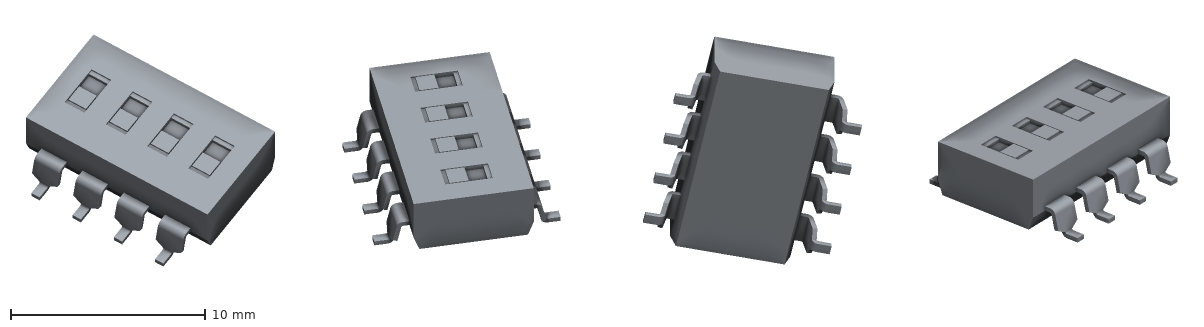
import cadquery as cq
import math

BODY_LENGTH = 11.2
BODY_WIDTH = 6.32
BODY_TOP = 3.75
BODY_BOTTOM = 0.7
TAPER_TOP = 1.5
TAPER_INSET = 0.3

SWITCH_COUNT = 4
SWITCH_PITCH = 2.54
SWITCH_ROW_OFFSET = -0.05

WINDOW_WIDTH = 1.21
WINDOW_LENGTH = 2.5
WINDOW_DEPTH = 0.1
LEDGE_LENGTH = 0.25
TRACK_DEPTH = 0.3
TOGGLE_WIDTH = 1.09
TOGGLE_TOP = BODY_TOP
TRACK_LENGTH = WINDOW_LENGTH - 2 * LEDGE_LENGTH
TOGGLE_LENGTH = TRACK_LENGTH / 2

LEAD_SPAN = 9.8
LEAD_TOP = 1.76
LEAD_THICKNESS = 0.26
LEAD_WIDTH = 1.57
FOOT_WIDTH = 0.52
FOOT_LENGTH = 0.7
SHOULDER_LENGTH = 0.34
INNER_BEND_RADIUS = 0.1
OUTER_BEND_RADIUS = INNER_BEND_RADIUS + LEAD_THICKNESS
LEAD_TAPER_TOP = 0.6
LEAD_TAPER_HEIGHT = 0.29
LEAD_ROOT = 0.34


def switch_positions():
    first = SWITCH_ROW_OFFSET - SWITCH_PITCH * (SWITCH_COUNT - 1) / 2
    return [first + index * SWITCH_PITCH for index in range(SWITCH_COUNT)]


def block(width, length, bottom, top, x, y):
    """Upright box centred on (x, y)."""
    return cq.Workplane("XY", origin=(x, y, bottom)).rect(width, length).extrude(top - bottom)


def make_body():
    half_top = BODY_WIDTH / 2
    half_bottom = half_top - TAPER_INSET
    outline = [
        (-half_bottom, BODY_BOTTOM),
        (half_bottom, BODY_BOTTOM),
        (half_top, TAPER_TOP),
        (half_top, BODY_TOP),
        (-half_top, BODY_TOP),
        (-half_top, TAPER_TOP),
    ]
    return cq.Workplane("YZ").polyline(outline).close().extrude(BODY_LENGTH / 2, both=True)


def make_window(x):
    """Material removed for one switch: the recess and track, less the toggle."""
    recess = block(WINDOW_WIDTH, WINDOW_LENGTH, BODY_TOP - WINDOW_DEPTH, BODY_TOP, x, 0)
    track_floor = BODY_TOP - TRACK_DEPTH
    track = block(WINDOW_WIDTH, TRACK_LENGTH, track_floor, BODY_TOP, x, 0)
    toggle = block(TOGGLE_WIDTH, TOGGLE_LENGTH, track_floor, TOGGLE_TOP, x, -TOGGLE_LENGTH / 2)
    return recess.union(track).cut(toggle)


def make_lead():
    """Lead on the +Y side, centred on X = 0."""
    root = BODY_WIDTH / 2 - LEAD_ROOT
    tip = LEAD_SPAN / 2
    upper_y = BODY_WIDTH / 2 + SHOULDER_LENGTH
    upper_z = LEAD_TOP - OUTER_BEND_RADIUS
    lower_y = tip - FOOT_LENGTH
    lower_z = OUTER_BEND_RADIUS

    rise = upper_z - lower_z
    run = lower_y - upper_y
    bend_radii = INNER_BEND_RADIUS + OUTER_BEND_RADIUS
    lean = math.atan2(run, rise) - math.asin(bend_radii / math.hypot(run, rise))
    middle = (math.pi / 2 + lean) / 2

    def upper(radius, angle):
        return upper_y + radius * math.cos(angle), upper_z + radius * math.sin(angle)

    def lower(radius, angle):
        return lower_y - radius * math.cos(angle), lower_z - radius * math.sin(angle)

    strip = (
        cq.Workplane("YZ")
        .moveTo(root, LEAD_TOP)
        .lineTo(upper_y, LEAD_TOP)
        .threePointArc(upper(OUTER_BEND_RADIUS, middle), upper(OUTER_BEND_RADIUS, lean))
        .lineTo(*lower(INNER_BEND_RADIUS, lean))
        .threePointArc(lower(INNER_BEND_RADIUS, middle), (lower_y, LEAD_THICKNESS))
        .lineTo(tip, LEAD_THICKNESS)
        .lineTo(tip, 0)
        .lineTo(lower_y, 0)
        .threePointArc(lower(OUTER_BEND_RADIUS, middle), lower(OUTER_BEND_RADIUS, lean))
        .lineTo(*upper(INNER_BEND_RADIUS, lean))
        .threePointArc(upper(INNER_BEND_RADIUS, middle), (upper_y, LEAD_TOP - LEAD_THICKNESS))
        .lineTo(root, LEAD_TOP - LEAD_THICKNESS)
        .close()
        .extrude(LEAD_WIDTH / 2, both=True)
    )

    outer_y, outer_z = upper(OUTER_BEND_RADIUS, lean)
    taper_y = outer_y + (outer_z - LEAD_TAPER_TOP) * math.tan(lean)
    leg_plane = cq.Plane(
        origin=(0, taper_y, LEAD_TAPER_TOP),
        xDir=(1, 0, 0),
        normal=(0, -math.cos(lean), -math.sin(lean)),
    )
    half_lead = LEAD_WIDTH / 2
    half_foot = FOOT_WIDTH / 2
    face = [
        (-half_lead, LEAD_SPAN),
        (-half_lead, 0),
        (-half_foot, -LEAD_TAPER_HEIGHT),
        (-half_foot, -LEAD_SPAN),
        (half_foot, -LEAD_SPAN),
        (half_foot, -LEAD_TAPER_HEIGHT),
        (half_lead, 0),
        (half_lead, LEAD_SPAN),
    ]
    outline = cq.Workplane(leg_plane).polyline(face).close().extrude(LEAD_SPAN, both=True)
    return strip.intersect(outline)


result = make_body()
rear_lead = make_lead()
front_lead = rear_lead.mirror("XZ")
for position in switch_positions():
    result = result.cut(make_window(position))
    for lead in (rear_lead, front_lead):
        result = result.union(lead.translate((position, 0, 0)))